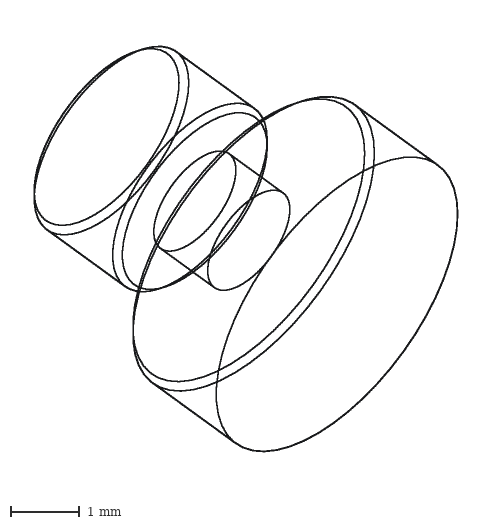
import cadquery as cq

flange_diameter = 5
flange_length = 1.8
neck_diameter = 1.7
neck_length = 1.1
knob_diameter = 3.2
knob_length = 1.8
edge_chamfer = 0.1

neck_start = knob_length
flange_start = neck_start + neck_length


def cylinder_along_x(start, diameter, length):
    """Solid cylinder on the X axis, growing toward +X from start."""
    return cq.Workplane("YZ", origin=(start, 0, 0)).circle(diameter / 2).extrude(length)


knob = cylinder_along_x(0, knob_diameter, knob_length).faces("<X or >X").chamfer(edge_chamfer)

neck = cylinder_along_x(neck_start, neck_diameter, neck_length)

flange = cylinder_along_x(flange_start, flange_diameter, flange_length).faces("<X").chamfer(edge_chamfer)

result = knob.union(neck).union(flange)